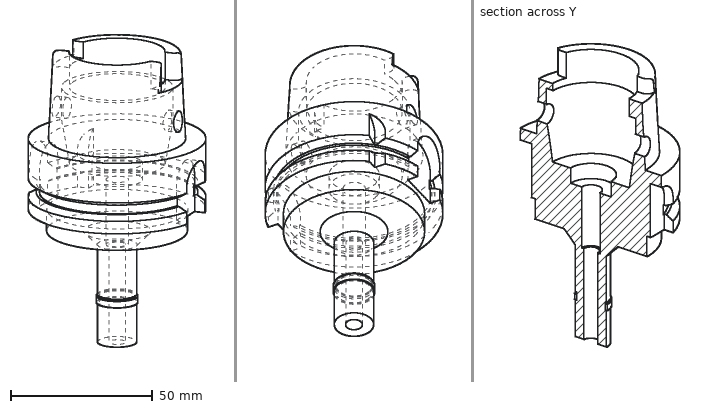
import cadquery as cq
import math


taper_height = 32.0
taper_base_radius = 24.3
taper_slope = 0.05
taper_top_radius = taper_base_radius - taper_slope * taper_height
rim_fillet = 1.5

flange_radius = 31.5
flange_bottom = -26.0
collar_radius = 25.0
collar_bottom = -34.0
shank_radius = 7.0
shank_bottom = -75.0
neck_radius = 12.0
neck_bottom = collar_bottom - (neck_radius - shank_radius)

gripper_z = -18.0
gripper_floor_radius = 27.5
gripper_floor_width = 3.5
gripper_mouth_width = 6.8
gripper_flank_angle = 30.0
gripper_flank_depth = (gripper_mouth_width - gripper_floor_width) / 2 / math.tan(
    math.radians(gripper_flank_angle)
)

mouth_radius = 17.0
mouth_bottom = 19.0
chamber_radius = 19.75
chamber_bottom = 7.0
cavity_floor_radius = mouth_radius
cavity_floor = -9.0
recess_radius = 9.0
recess_depth = 6.0
passage_radius = 4.0
tool_bore_radius = 3.0
tool_bore_depth = 36.0

drive_width = 12.5
drive_corner_radius = 2.9
drive_corner_x = 18.05
left_drive_floor = 26.0
right_drive_floor = 21.9

cross_hole_diameter = 7.5
cross_hole_z = 9.0

keyway_radius = 8.0
keyway_top = -4.8
keyway_floor = 26.5
notch_floor = 20.0
notch_wall = 20.1
notch_top = -4.1

ring_radius = 7.4
ring_height = 2.4
ring_bottom = -60.4
ring_groove_radius = 6.5
ring_groove_height = 3.0


def disc(radius, bottom, top):
    """Upright cylinder on the Z axis."""
    return cq.Workplane("XY").workplane(offset=bottom).circle(radius).extrude(top - bottom)


def outer_body():
    """Revolved outside of the holder, with the gripper groove and the rounded rim."""
    flank_radius = flange_radius - gripper_flank_depth
    groove = [
        (flange_radius, gripper_z - gripper_mouth_width / 2),
        (flank_radius, gripper_z - gripper_floor_width / 2),
        (gripper_floor_radius, gripper_z - gripper_floor_width / 2),
        (gripper_floor_radius, gripper_z + gripper_floor_width / 2),
        (flank_radius, gripper_z + gripper_floor_width / 2),
        (flange_radius, gripper_z + gripper_mouth_width / 2),
    ]
    profile = [
        (0, shank_bottom),
        (shank_radius, shank_bottom),
        (shank_radius, neck_bottom),
        (neck_radius, collar_bottom),
        (collar_radius, collar_bottom),
        (collar_radius, flange_bottom),
        (flange_radius, flange_bottom),
        *groove,
        (flange_radius, 0),
        (taper_base_radius, 0),
        (taper_top_radius, taper_height),
        (0, taper_height),
    ]
    body = cq.Workplane("YZ").polyline(profile).close().revolve(360, (0, 0), (0, 1))
    return body.faces(">Z").edges().fillet(rim_fillet)


def cavity():
    """Stepped hollow along the axis, from the rim to the end of the shank."""
    recess_bottom = cavity_floor - recess_depth
    tool_bore_top = shank_bottom + tool_bore_depth
    profile = [
        (0, shank_bottom),
        (tool_bore_radius, shank_bottom),
        (tool_bore_radius, tool_bore_top),
        (passage_radius, tool_bore_top),
        (passage_radius, recess_bottom),
        (recess_radius, recess_bottom),
        (recess_radius, cavity_floor),
        (cavity_floor_radius, cavity_floor),
        (chamber_radius, chamber_bottom),
        (chamber_radius, mouth_bottom),
        (mouth_radius, mouth_bottom),
        (mouth_radius, taper_height),
        (0, taper_height),
    ]
    return cq.Workplane("YZ").polyline(profile).close().revolve(360, (0, 0), (0, 1))


def drive_slot(side, floor):
    """Slot across the rim wall, flaring outward in rounded corners; side is -1 or +1 along X."""
    half_width = drive_width / 2
    corner_y = half_width + drive_corner_radius
    end_angle = math.atan2(corner_y, drive_corner_x)
    middle_angle = (end_angle - math.pi / 2) / 2

    def corner_point(angle):
        return (
            side * (drive_corner_x + drive_corner_radius * math.cos(angle)),
            corner_y + drive_corner_radius * math.sin(angle),
        )

    end = corner_point(end_angle)
    half_slot = (
        cq.Workplane("XY")
        .workplane(offset=floor)
        .lineTo(0, half_width)
        .lineTo(side * drive_corner_x, half_width)
        .threePointArc(corner_point(middle_angle), end)
        .lineTo(side * flange_radius, end[1])
        .lineTo(side * flange_radius, 0)
        .close()
        .extrude(taper_height - floor)
    )
    return half_slot.union(half_slot.mirror("XZ"))


def round_top_cut(center_y, top, start_x, end_x):
    """Cut along X with a half-round top, reaching down to the underside of the flange."""
    arch_z = top - keyway_radius
    return (
        cq.Workplane("YZ")
        .workplane(offset=start_x)
        .moveTo(center_y - keyway_radius, flange_bottom)
        .lineTo(center_y - keyway_radius, arch_z)
        .threePointArc((center_y, top), (center_y + keyway_radius, arch_z))
        .lineTo(center_y + keyway_radius, flange_bottom)
        .close()
        .extrude(end_x - start_x)
    )


def make_holder():
    body = outer_body().cut(cavity())
    body = body.cut(drive_slot(-1, left_drive_floor))
    body = body.cut(drive_slot(1, right_drive_floor))
    cross_hole = (
        cq.Workplane("YZ")
        .center(0, cross_hole_z)
        .circle(cross_hole_diameter / 2)
        .extrude(taper_base_radius, both=True)
    )
    body = body.cut(cross_hole)
    for side in (-1, 1):
        body = body.cut(round_top_cut(0, keyway_top, side * keyway_floor, side * flange_radius))
    notch_center_y = notch_wall + keyway_radius
    body = body.cut(round_top_cut(notch_center_y, notch_top, -notch_floor, -flange_radius))
    groove_top = ring_bottom + ring_groove_height
    groove = disc(ring_radius, ring_bottom, groove_top).cut(
        disc(ring_groove_radius, ring_bottom, groove_top)
    )
    return body.cut(groove)


def make_ring():
    """Ring resting on the lower side of the shank groove and filling it radially."""
    top = ring_bottom + ring_height
    return disc(ring_radius, ring_bottom, top).cut(disc(ring_groove_radius, ring_bottom, top))


holder = make_holder()
ring = make_ring()

result = cq.Compound.makeCompound([holder.val(), ring.val()])